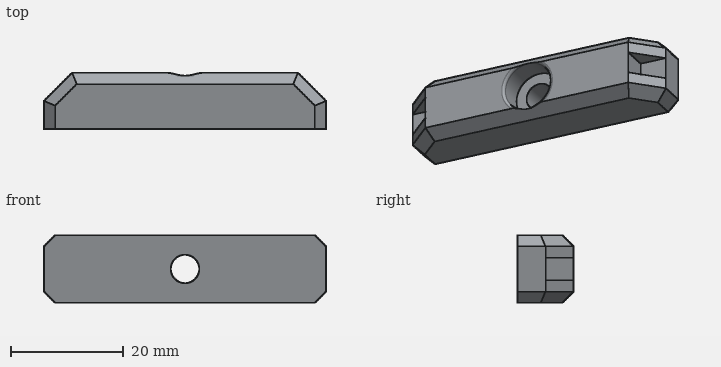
import cadquery as cq

length = 50.0
depth = 10.0
height = 12.0

corner_cut = 5.0
edge_bevel = 2.0

hole_diameter = 5.0
head_diameter = 9.0
head_depth = 5.0
mouth_rounding = 0.5

notch_height = 4.0


def make_body():
    """Bar with two cut rear corners and bevelled end and rear edges, centred on X and Z."""
    half_length = length / 2
    shoulder_x = half_length - corner_cut
    shoulder_y = depth - corner_cut
    outline = [
        (-half_length, 0),
        (half_length, 0),
        (half_length, shoulder_y),
        (shoulder_x, depth),
        (-shoulder_x, depth),
        (-half_length, shoulder_y),
    ]
    body = cq.Workplane("XY").polyline(outline).close().extrude(height / 2, both=True)
    rim = body.faces("|Z").edges("not <Y")
    return rim.chamfer(edge_bevel)


def make_screw_hole():
    """Through hole with a wider, round-rimmed seat for the screw head at the rear."""
    shank = cq.Workplane("XZ").circle(hole_diameter / 2).extrude(-depth)
    head = cq.Workplane("XZ", origin=(0, depth, 0)).circle(head_diameter / 2).extrude(head_depth)
    mouth_bottom = depth - mouth_rounding
    mouth_radius = head_diameter / 2 + mouth_rounding
    mouth = (
        cq.Workplane("XY")
        .moveTo(0, mouth_bottom)
        .lineTo(head_diameter / 2, mouth_bottom)
        .radiusArc((mouth_radius, depth), mouth_rounding)
        .lineTo(0, depth)
        .close()
        .revolve(axisStart=(0, 0, 0), axisEnd=(0, 1, 0))
    )
    return shank.union(head).union(mouth)


def make_notch(side):
    """Square-bottomed notch that removes the middle of one corner cut; side is -1 or 1."""
    centre = (side * (length - corner_cut) / 2, depth - corner_cut / 2, 0)
    return cq.Workplane("XY", origin=centre).box(corner_cut, corner_cut, notch_height)


result = make_body().cut(make_screw_hole())
for end in (-1, 1):
    result = result.cut(make_notch(end))